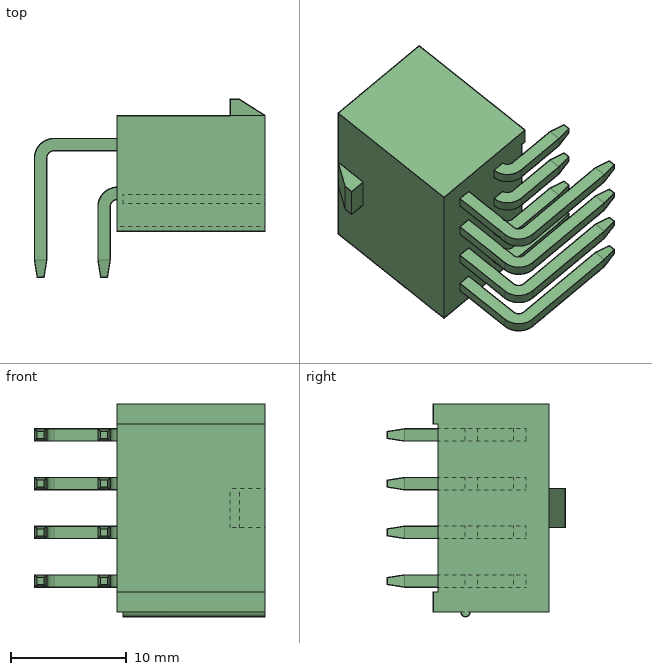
import cadquery as cq


housing_length = 12.8
housing_depth = 10.0
housing_height = 18.0
foot_height = 1.75
foot_step = 0.4

rib_radius = 0.4
rib_setback = 0.5
rib_y = 2.8

latch_length = 3.03
latch_flat = 0.8
latch_rise = 1.42
latch_height = 3.39

overall_length = 19.93
pin_width = 1.08
pin_tip_width = 0.6
pin_tip_length = 1.5
pin_reach = 3.99
bend_inner_radius = 0.64
bend_outer_radius = bend_inner_radius + pin_width
pin_embed = 1.0
pins_per_row = 4
pin_pitch = 4.2
leg_spacing = 5.48
outer_leg_x = housing_length - overall_length + pin_width / 2
inner_leg_x = outer_leg_x + leg_spacing
outer_row_y = 7.5
inner_row_y = outer_row_y - pin_pitch


def make_housing():
    """Block whose front face is stepped back between a top and a bottom foot."""
    block = cq.Workplane("XY").box(
        housing_length, housing_depth, housing_height, centered=(False, False, True)
    )
    recess = cq.Workplane("XY").box(
        housing_length, foot_step, housing_height - 2 * foot_height, centered=(False, False, True)
    )
    return block.cut(recess)


def make_rib():
    """Round bar half sunk into the underside, running to the far end of the housing."""
    return (
        cq.Workplane("YZ", origin=(rib_setback, 0, 0))
        .center(rib_y, -housing_height / 2)
        .circle(rib_radius)
        .extrude(housing_length - rib_setback)
    )


def make_latch():
    """Ramp that falls from a short flat to the far edge of the back face."""
    latch_start = housing_length - latch_length
    latch_top = housing_depth + latch_rise
    return (
        cq.Workplane("XY")
        .moveTo(latch_start, housing_depth)
        .lineTo(latch_start, latch_top)
        .lineTo(latch_start + latch_flat, latch_top)
        .lineTo(housing_length, housing_depth)
        .close()
        .extrude(latch_height / 2, both=True)
    )


def make_pin(leg_x, row_y, pin_z):
    """Square wire leaving the housing at row_y, bent towards -Y, with a tapered tip."""
    half = pin_width / 2
    shoulder_y = pin_tip_length - pin_reach
    wire = (
        cq.Workplane("XY", origin=(0, 0, pin_z))
        .moveTo(leg_x - half, shoulder_y)
        .lineTo(leg_x - half, row_y + half - bend_outer_radius)
        .radiusArc((leg_x - half + bend_outer_radius, row_y + half), bend_outer_radius)
        .lineTo(pin_embed, row_y + half)
        .lineTo(pin_embed, row_y - half)
        .lineTo(leg_x + half + bend_inner_radius, row_y - half)
        .radiusArc((leg_x + half, row_y - half - bend_inner_radius), -bend_inner_radius)
        .lineTo(leg_x + half, shoulder_y)
        .close()
        .extrude(half, both=True)
    )
    tip = (
        cq.Workplane("XZ", origin=(leg_x, shoulder_y, pin_z))
        .rect(pin_width, pin_width)
        .workplane(offset=pin_tip_length)
        .rect(pin_tip_width, pin_tip_width)
        .loft()
    )
    return wire.union(tip)


result = make_housing().union(make_rib()).union(make_latch())
for index in range(pins_per_row):
    level = (index - (pins_per_row - 1) / 2) * pin_pitch
    result = result.union(make_pin(outer_leg_x, outer_row_y, level))
    result = result.union(make_pin(inner_leg_x, inner_row_y, level))